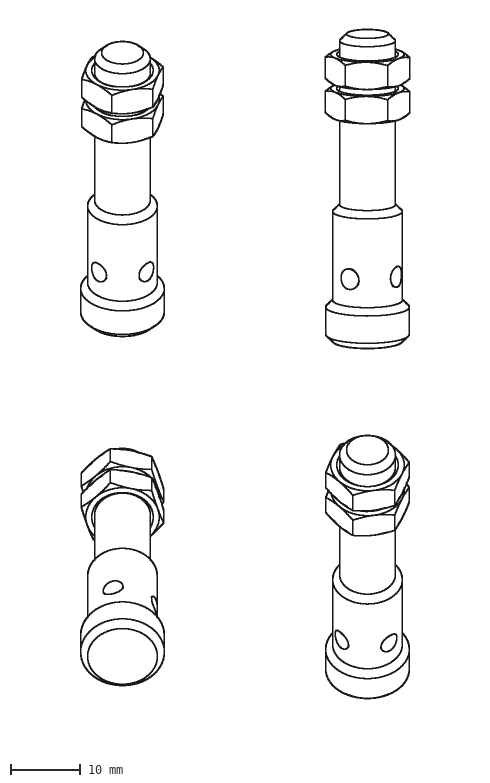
import cadquery as cq
import math

total_length = 45.0
rod_radius = 4.0
shoulder_radius = 5.0
shoulder_top = 20.0
collar_radius = 6.0
collar_height = 6.0
edge_chamfer = 1.0

dimple_count = 4
dimple_radius = 1.5
dimple_height = 10.0
seam_angle = 45.0

nut_sides = 6
nut_across_corners = 12.14
nut_thickness = 4.0
nut_gap = 1.0
upper_nut_top = 42.0
nut_count = 2
nut_bevel_angle = 30.0
bore_chamfer = 0.4


def make_pin():
    """Revolve the stepped rod and sink the dimples into its shoulder."""
    profile = [
        (0, 0),
        (collar_radius - edge_chamfer, 0),
        (collar_radius, edge_chamfer),
        (collar_radius, collar_height - edge_chamfer),
        (shoulder_radius, collar_height),
        (shoulder_radius, shoulder_top - edge_chamfer),
        (rod_radius, shoulder_top),
        (rod_radius, total_length - edge_chamfer),
        (rod_radius - edge_chamfer, total_length),
        (0, total_length),
    ]
    pin = cq.Workplane("XZ").polyline(profile).close().revolve(360, (0, 0), (0, 1))
    pin = pin.rotate((0, 0, 0), (0, 0, 1), seam_angle)
    for index in range(dimple_count):
        angle = 360 * index / dimple_count
        ball = cq.Workplane("XY").sphere(dimple_radius)
        ball = ball.rotate((0, 0, 0), (0, 1, 0), 90)
        ball = ball.translate((shoulder_radius, 0, dimple_height))
        pin = pin.cut(ball.rotate((0, 0, 0), (0, 0, 1), angle))
    return pin


def make_nut(bottom):
    """Hex nut with two corners on the X axis, bevelled corners and a countersunk bore."""
    corner_radius = nut_across_corners / 2
    face_radius = corner_radius * math.cos(math.pi / nut_sides)
    bevel_drop = (corner_radius - face_radius) * math.tan(math.radians(nut_bevel_angle))
    section = [
        (rod_radius, bore_chamfer),
        (rod_radius + bore_chamfer, 0),
        (face_radius, 0),
        (corner_radius, bevel_drop),
        (corner_radius, nut_thickness - bevel_drop),
        (face_radius, nut_thickness),
        (rod_radius + bore_chamfer, nut_thickness),
        (rod_radius, nut_thickness - bore_chamfer),
    ]
    ring = cq.Workplane("XZ").polyline(section).close().revolve(360, (0, 0), (0, 1))
    hexagon = cq.Workplane("XY").polygon(nut_sides, nut_across_corners).extrude(nut_thickness)
    return hexagon.intersect(ring).translate((0, 0, bottom))


pin = make_pin()

nuts = []
for index in range(nut_count):
    nut_top = upper_nut_top - index * (nut_thickness + nut_gap)
    nuts.append(make_nut(nut_top - nut_thickness))

result = cq.Compound.makeCompound([pin.val(), *[nut.val() for nut in nuts]])